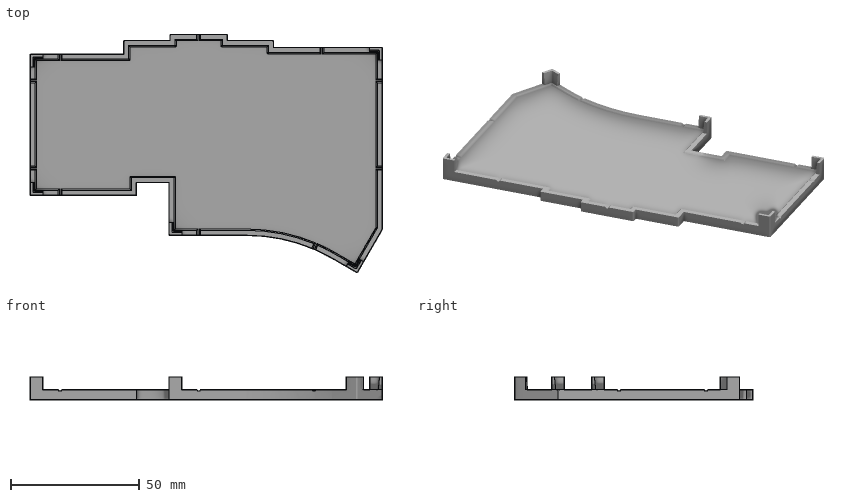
import cadquery as cq
import math


RIM_Z = 4.0
FLOOR_Z = 3.5
TOP_Z = 9.0

WIDTH = 137.5
STEP_1_X = 36.5
TAB_LEFT_X = 54.6
TAB_RIGHT_X = 77.0
STEP_4_X = 95.0
NOTCH_LEFT_X = 41.5
NOTCH_RIGHT_X = 54.2

LEFT_FRONT_Y = 15.6
NOTCH_Y = 20.6
LEFT_BACK_Y = 70.8
STEP_Y = 76.1
TAB_Y = 78.5
RIGHT_BACK_Y = 73.4

TURN = math.radians(30)
CURVE_START_X = 84.6
CURVE_RADIUS = 66.5
FRONT_Y = -14.4
CORNER_FILLET = 0.5
TIP_Y = FRONT_Y - CORNER_FILLET * (math.sin(TURN) + math.cos(TURN) - 1)

RIM_WIDTH = 2.0

POST_LEG = 5.0
POST_TOP_WALL = 1.1
POST_BASE_WALL = 1.6
POST_FILLET = 0.6

GROOVE_FLOOR_WIDTH = 0.6
GROOVE_LENGTH = 6.0
GROOVE_XS = (11.7, 65.8)
GROOVE_YS = (26.3, 60.3)
BACK_GROOVE_X = 113.9
CURVE_GROOVE_X = 110.7


def curve_point(angle):
    """Point on the curved front edge after it has turned by the given angle."""
    x = CURVE_START_X + CURVE_RADIUS * math.sin(angle)
    y = CURVE_RADIUS * (math.cos(angle) - 1)
    return (x, y)


CURVE_END = curve_point(TURN)
TIP_X = CURVE_END[0] + (CURVE_END[1] - TIP_Y) / math.tan(TURN)
RIGHT_FRONT_Y = TIP_Y + (WIDTH - TIP_X) / math.tan(TURN)


def outline():
    """Outer contour of the case, anticlockwise from the front edge."""
    return (
        cq.Workplane("XY")
        .moveTo(NOTCH_RIGHT_X, 0)
        .lineTo(CURVE_START_X, 0)
        .threePointArc(curve_point(TURN / 2), CURVE_END)
        .lineTo(TIP_X, TIP_Y)
        .lineTo(WIDTH, RIGHT_FRONT_Y)
        .lineTo(WIDTH, RIGHT_BACK_Y)
        .lineTo(STEP_4_X, RIGHT_BACK_Y)
        .lineTo(STEP_4_X, STEP_Y)
        .lineTo(TAB_RIGHT_X, STEP_Y)
        .lineTo(TAB_RIGHT_X, TAB_Y)
        .lineTo(TAB_LEFT_X, TAB_Y)
        .lineTo(TAB_LEFT_X, STEP_Y)
        .lineTo(STEP_1_X, STEP_Y)
        .lineTo(STEP_1_X, LEFT_BACK_Y)
        .lineTo(0, LEFT_BACK_Y)
        .lineTo(0, LEFT_FRONT_Y)
        .lineTo(NOTCH_LEFT_X, LEFT_FRONT_Y)
        .lineTo(NOTCH_LEFT_X, NOTCH_Y)
        .lineTo(NOTCH_RIGHT_X, NOTCH_Y)
        .close()
    )


def rounded_block(height):
    """Outline extruded from the bottom up to a height, its corners at the posts and back steps rounded."""
    body = outline().extrude(height)
    back_steps = [(STEP_1_X, STEP_Y), (TAB_LEFT_X, TAB_Y), (TAB_RIGHT_X, TAB_Y), (STEP_4_X, STEP_Y)]
    for x, y in back_steps + [corner for corner, angle in POSTS]:
        edge = cq.selectors.NearestToPointSelector((x, y, height / 2))
        body = body.edges(edge).fillet(CORNER_FILLET)
    return body


def recess():
    """Shallow pocket inside the rim, its walls sloping in at 45 degrees down to the floor."""
    depth = RIM_Z - FLOOR_Z
    pocket = outline().offset2D(-RIM_WIDTH, "intersection").extrude(-depth, taper=45)
    return pocket.translate((0, 0, RIM_Z))


def place_at_corner(body, corner, angle):
    """Move a body modelled at the origin to an outline corner."""
    return body.rotate((0, 0, 0), (0, 0, 1), angle).translate((corner[0], corner[1], 0))


def corner_post(corner, angle):
    """L-shaped post on a corner; its legs point along the angle and 90 degrees further round."""
    height = TOP_Z - RIM_Z
    draft = math.degrees(math.atan((POST_BASE_WALL - POST_TOP_WALL) / height))
    leg_box = (
        cq.Workplane("XY", origin=(0, 0, RIM_Z))
        .rect(POST_LEG, POST_LEG, centered=False)
        .extrude(height)
    )
    hollow_side = 2 * POST_LEG
    hollow = (
        cq.Workplane("XY", origin=(POST_TOP_WALL, POST_TOP_WALL, TOP_Z))
        .rect(hollow_side, hollow_side, centered=False)
        .extrude(-height, taper=draft)
    )
    inner_corner = cq.selectors.NearestToPointSelector((POST_TOP_WALL, POST_TOP_WALL, TOP_Z - height / 2))
    hollow = hollow.edges(inner_corner).fillet(POST_FILLET)
    return place_at_corner(leg_box.cut(hollow), corner, angle)


def groove(edge_point, angle):
    """Flat-bottomed groove across the rim with 45 degree sides; the angle gives its direction."""
    depth = RIM_Z - FLOOR_Z
    half_floor = GROOVE_FLOOR_WIDTH / 2
    half_top = half_floor + depth
    cutter = (
        cq.Workplane("YZ")
        .polyline([(-half_floor, FLOOR_Z), (half_floor, FLOOR_Z), (half_top, RIM_Z), (-half_top, RIM_Z)])
        .close()
        .extrude(GROOVE_LENGTH / 2, both=True)
    )
    cutter = cutter.rotate((0, 0, 0), (0, 0, 1), angle)
    return cutter.translate((edge_point[0], edge_point[1], 0))


def grooves():
    """All groove cutters: (point on the outer edge, direction)."""
    curve_angle = math.asin((CURVE_GROOVE_X - CURVE_START_X) / CURVE_RADIUS)
    places = [
        ((GROOVE_XS[0], LEFT_BACK_Y), 90),
        ((GROOVE_XS[0], LEFT_FRONT_Y), 90),
        ((GROOVE_XS[1], TAB_Y), 90),
        ((GROOVE_XS[1], 0), 90),
        ((BACK_GROOVE_X, RIGHT_BACK_Y), 90),
        (curve_point(curve_angle), 90 - math.degrees(curve_angle)),
    ]
    for y in GROOVE_YS:
        places.append(((0, y), 0))
        places.append(((WIDTH, y), 0))
    return [groove(point, angle) for point, angle in places]


POSTS = (
    ((0, LEFT_FRONT_Y), 0),
    ((0, LEFT_BACK_Y), -90),
    ((WIDTH, RIGHT_BACK_Y), 180),
    ((NOTCH_RIGHT_X, 0), 0),
    ((TIP_X, TIP_Y), 90 - math.degrees(TURN)),
)

tray = rounded_block(RIM_Z).cut(recess())
for cutter in grooves():
    tray = tray.cut(cutter)

tall_block = rounded_block(TOP_Z)
result = tray
for post_corner, post_angle in POSTS:
    result = result.union(corner_post(post_corner, post_angle).intersect(tall_block))